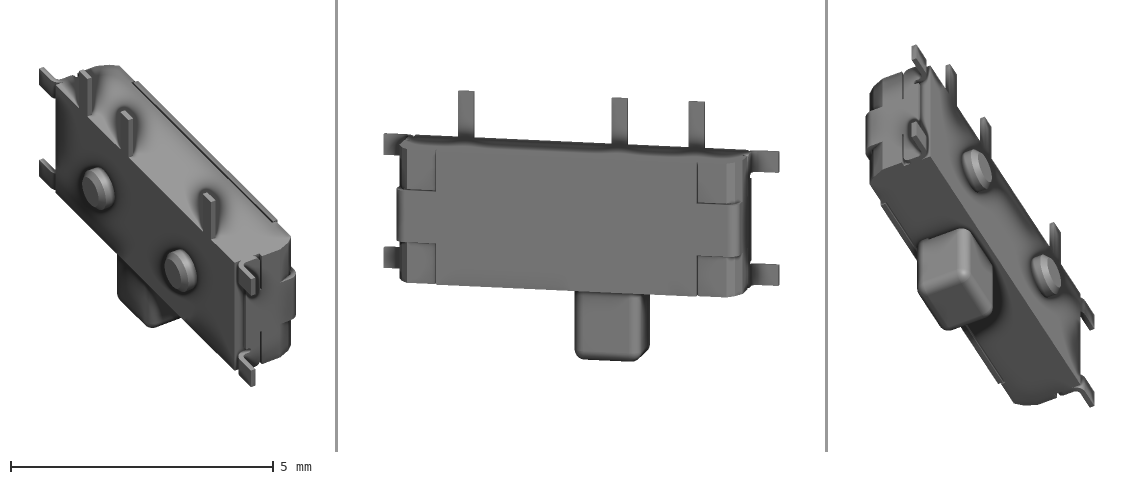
import cadquery as cq


height = 2.6
depth = 1.4
cover_width = 6.7
overall_width = 7.7
sheet = 0.1
cover_half = cover_width / 2
mid_z = height / 2

bend_radius = 2 * sheet
leg_height = 0.4
relief_width = 0.1
relief_top = 0.31
band_height = 1.0
plate_inset = 0.81
skirt_top = 0.515
skirt_corner_radius = 0.12
plate_half = cover_half - plate_inset

back_setback = 0.05
recess_depth = 0.14
recess_clearance = 0.02
side_step_y = 0.555
corner_inset = 0.23
corner_drop = 0.44

peg_spacing = 2.995
peg_radius = 0.4
peg_length = 0.3
peg_chamfer = 0.1

knob_x = -0.75
knob_width = 1.3
knob_reach = 1.39
knob_fillet = 0.2
knob_setback = 0.15
knob_gap = 0.05
neck_depth = 0.31

terminal_width = 0.3
terminal_length = 0.9
terminal_places = [-2.25, -0.75, 2.25]


def block(x_range, y_range, z_range):
    """Axis-aligned box between the given limits."""
    size = [high - low for low, high in (x_range, y_range, z_range)]
    corner = (x_range[0], y_range[0], z_range[0])
    return cq.Workplane("XY").box(*size, centered=False).translate(corner)


def mirrored(half):
    """The given shape together with its mirror image across X = 0."""
    return half.union(half.mirror("YZ"))


def make_bent_strip():
    """Cover cross-section, bent from one sheet, over the full height."""
    inner_radius = bend_radius - sheet
    inner_half = cover_half - sheet
    bend_x = cover_half - bend_radius
    bend_y = depth - bend_radius
    leg_root = cover_half + inner_radius
    tip = overall_width / 2
    diagonal = 0.5 ** 0.5
    half = (
        cq.Workplane("XY")
        .moveTo(0, depth)
        .lineTo(bend_x, depth)
        .threePointArc(
            (bend_x + bend_radius * diagonal, bend_y + bend_radius * diagonal), (cover_half, bend_y)
        )
        .lineTo(cover_half, bend_radius)
        .threePointArc(
            (leg_root - inner_radius * diagonal, bend_radius - inner_radius * diagonal), (leg_root, sheet)
        )
        .lineTo(tip, sheet)
        .lineTo(tip, 0)
        .lineTo(leg_root, 0)
        .threePointArc(
            (leg_root - bend_radius * diagonal, bend_radius - bend_radius * diagonal),
            (inner_half, bend_radius),
        )
        .lineTo(inner_half, bend_y)
        .threePointArc(
            (bend_x + inner_radius * diagonal, bend_y + inner_radius * diagonal), (bend_x, depth - sheet)
        )
        .lineTo(0, depth - sheet)
        .close()
        .extrude(height)
    )
    return mirrored(half)


def cut_corner_windows(strip):
    """Open the cover corners above and below the band."""
    window_height = (height - band_height) / 2
    for z_range in ((0, window_height), (height - window_height, height)):
        window = block((plate_half, cover_half), (skirt_top, depth), z_range)
        strip = strip.cut(mirrored(window))
    return strip


def round_skirt_corners(strip):
    """Round the outer skirt corners left beside the windows."""
    reach = skirt_corner_radius / 2
    for z in (0, height):
        for x in (-cover_half, cover_half):
            corner = cq.selectors.BoxSelector(
                (x - 2 * sheet, skirt_top - reach, z - reach), (x + 2 * sheet, skirt_top + reach, z + reach)
            )
            strip = strip.edges("|X").edges(corner).fillet(skirt_corner_radius)
    return strip


def cut_legs(strip):
    """Separate the upper and lower legs and add the bend reliefs beside them."""
    leg_zone = (cover_half - sheet, overall_width / 2)
    between = block(leg_zone, (0, bend_radius), (leg_height, height - leg_height))
    strip = strip.cut(mirrored(between))
    relief_radius = relief_width / 2
    relief_center_y = relief_top - relief_radius
    for z in (leg_height + relief_radius, height - leg_height - relief_radius):
        slot = block(leg_zone, (0, relief_center_y), (z - relief_radius, z + relief_radius))
        round_end = (
            cq.Workplane("YZ", origin=(leg_zone[0], 0, 0))
            .center(relief_center_y, z)
            .circle(relief_radius)
            .extrude(leg_zone[1] - leg_zone[0])
        )
        strip = strip.cut(mirrored(slot.union(round_end)))
    return strip


def make_cover():
    return cut_legs(round_skirt_corners(cut_corner_windows(make_bent_strip())))


def make_housing_block():
    """Housing with stepped sides, faceted corners and the seat of the cover."""
    inner_half = cover_half - sheet
    half = (
        cq.Workplane("XY")
        .polyline(
            [
                (0, 0),
                (inner_half, 0),
                (inner_half, side_step_y),
                (cover_half, side_step_y),
                (cover_half, depth - corner_drop),
                (inner_half, depth - bend_radius),
                (cover_half - corner_inset, depth - back_setback),
                (0, depth - back_setback),
            ]
        )
        .close()
        .extrude(height)
    )
    floor_y = depth - recess_depth
    band_z = (mid_z - band_height / 2, mid_z + band_height / 2)
    loose_band_z = (band_z[0] - recess_clearance, band_z[1] + recess_clearance)
    plate_recess = block((0, plate_half + recess_clearance), (floor_y, depth), (0, height))
    band_recess = block((0, cover_half), (floor_y, depth), loose_band_z)
    side_recess = block((inner_half, cover_half), (side_step_y, depth), band_z)
    return mirrored(half.cut(plate_recess).cut(band_recess).cut(side_recess))


def make_pegs():
    """Chamfered locating pegs on the mounting face."""
    return (
        cq.Workplane("XZ", origin=(0, 0, mid_z))
        .pushPoints([(-peg_spacing / 2, 0), (peg_spacing / 2, 0)])
        .circle(peg_radius)
        .extrude(peg_length)
        .faces("<Y")
        .chamfer(peg_chamfer)
    )


def make_knob():
    """Rounded slider knob, joined to the housing by a neck along its back."""
    x_range = (knob_x - knob_width / 2, knob_x + knob_width / 2)
    front_y = knob_setback
    back_y = depth - recess_depth
    knob = (
        block(x_range, (front_y, back_y), (-knob_reach, 0))
        .edges("|Z or <Z")
        .fillet(knob_fillet)
    )
    gap = block(x_range, (front_y, back_y - neck_depth), (-knob_gap, 0))
    return knob.cut(gap)


def make_housing():
    return make_housing_block().union(make_pegs()).union(make_knob())


def make_terminal(x):
    """Flat terminal standing on top of the housing, flush with the mounting face."""
    x_range = (x - terminal_width / 2, x + terminal_width / 2)
    return block(x_range, (0, sheet), (height, height + terminal_length))


housing = make_housing()
cover = make_cover()
terminals = [make_terminal(x) for x in terminal_places]

result = cq.Compound.makeCompound(
    [
        housing.solids().val(),
        cover.solids().val(),
        *[terminal.val() for terminal in terminals],
    ]
)